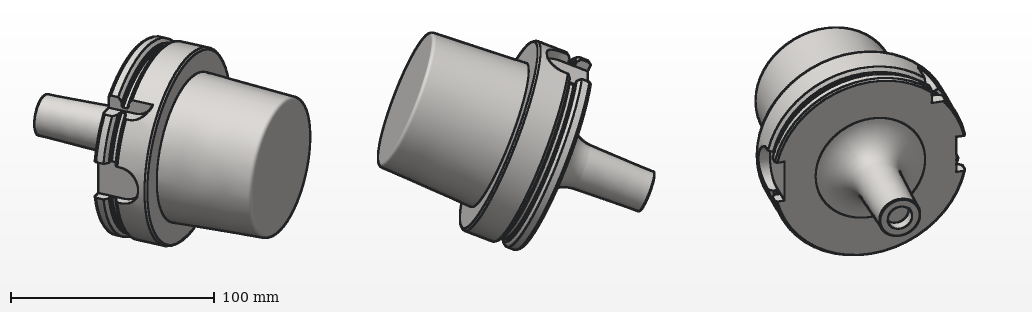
import cadquery as cq
import math

total_length = 129.0
flange_start = 50.0
flange_end = 79.0

tip_radius = 21.0 / 2
tip_length = 4.8
tip_chamfer = 0.4
neck_radius = 23.0 / 2
neck_band_length = 1.3
flare_radius = 16.3
flare_lip_width = 0.4
flare_lip_depth = 0.1
flare_end = flange_start - flare_lip_depth
flare_center_x = flare_end - flare_radius
flare_center_radius = neck_radius + flare_radius
bore_diameter = 12.5
bore_depth = 6.0

flange_radius = 100.0 / 2
flange_chamfer_length = 1.2
flange_chamfer_drop = 0.9

groove_center = 59.0
groove_floor_radius = 46.0
groove_wall_radius = 48.0
groove_edge_radius = 49.4
groove_floor_half_width = 1.0
groove_wall_half_width = 1.8
groove_flank_half_width = 3.0
groove_mouth_half_width = 3.7
groove_corner_rise = 0.6

shank_base_radius = 37.9
shank_end_radius = 35.5
shank_end_fillet = 1.8

cutter_radius = 20.0 / 2
cutter_center_x = 64.4
slot_end = cutter_center_x + cutter_radius
slot_floor = 44.1
wide_slot_half_width = 11.1
notch_wall = 31.6
notch_floor = 31.6


def revolved_body():
    """Solid of revolution about X: nose, flare, grooved flange and shank."""
    groove_half = [
        (groove_mouth_half_width, flange_radius),
        (groove_flank_half_width, groove_edge_radius),
        (groove_wall_half_width, groove_wall_radius),
        (groove_wall_half_width, groove_floor_radius + groove_corner_rise),
        (groove_floor_half_width, groove_floor_radius),
    ]
    groove_front = [(groove_center - half_width, radius) for half_width, radius in groove_half]
    groove_back = [(groove_center + half_width, radius) for half_width, radius in reversed(groove_half)]
    chamfered_radius = flange_radius - flange_chamfer_drop

    flare_start = flare_center_x + neck_band_length
    flare_start_radius = flare_center_radius - math.sqrt(flare_radius**2 - neck_band_length**2)

    profile = (
        cq.Workplane("XY")
        .lineTo(0, tip_radius - tip_chamfer)
        .lineTo(tip_chamfer, tip_radius)
        .lineTo(tip_length, tip_radius)
        .lineTo(flare_center_x, neck_radius)
        .lineTo(flare_start, flare_start_radius)
        .radiusArc((flare_end, flare_center_radius), -flare_radius)
        .lineTo(flange_start, flare_center_radius + flare_lip_width)
        .lineTo(flange_start, chamfered_radius)
        .lineTo(flange_start + flange_chamfer_length, flange_radius)
    )
    for x, radius in groove_front + groove_back:
        profile = profile.lineTo(x, radius)
    profile = (
        profile.lineTo(flange_end - flange_chamfer_length, flange_radius)
        .lineTo(flange_end, chamfered_radius)
        .lineTo(flange_end, shank_base_radius)
        .lineTo(total_length, shank_end_radius)
        .lineTo(total_length, 0)
        .close()
    )
    body = profile.revolve(360, (0, 0, 0), (1, 0, 0))
    return body.faces(">X").edges().fillet(shank_end_fillet)


def drive_slot(side, half_width):
    """Cutter for a slot on the +Y (side = 1) or -Y (side = -1) flank, rounded at its closed end."""
    flat_half_width = half_width - cutter_radius
    outline = (
        cq.Workplane("XZ", origin=(0, side * slot_floor, 0))
        .moveTo(flange_start, -half_width)
        .lineTo(cutter_center_x, -half_width)
        .radiusArc((slot_end, -flat_half_width), -cutter_radius)
    )
    if flat_half_width > 0:
        outline = outline.lineTo(slot_end, flat_half_width)
    outline = (
        outline.radiusArc((cutter_center_x, half_width), -cutter_radius)
        .lineTo(flange_start, half_width)
        .close()
    )
    return outline.extrude(-side * (flange_radius - slot_floor))


def orientation_notch():
    """Corner cutter whose floor curves up out of the flange at its closed end."""
    return (
        cq.Workplane("XZ", origin=(0, -notch_wall, 0))
        .moveTo(flange_start, notch_floor)
        .lineTo(cutter_center_x, notch_floor)
        .radiusArc((slot_end, notch_floor + cutter_radius), -cutter_radius)
        .lineTo(flange_start, notch_floor + cutter_radius)
        .close()
        .extrude(flange_radius - notch_wall)
    )


def nose_bore():
    """Cutter for the blind bore in the nose tip."""
    return cq.Workplane("YZ").circle(bore_diameter / 2).extrude(bore_depth)


result = (
    revolved_body()
    .cut(drive_slot(-1, cutter_radius))
    .cut(drive_slot(1, wide_slot_half_width))
    .cut(orientation_notch())
    .cut(nose_bore())
)